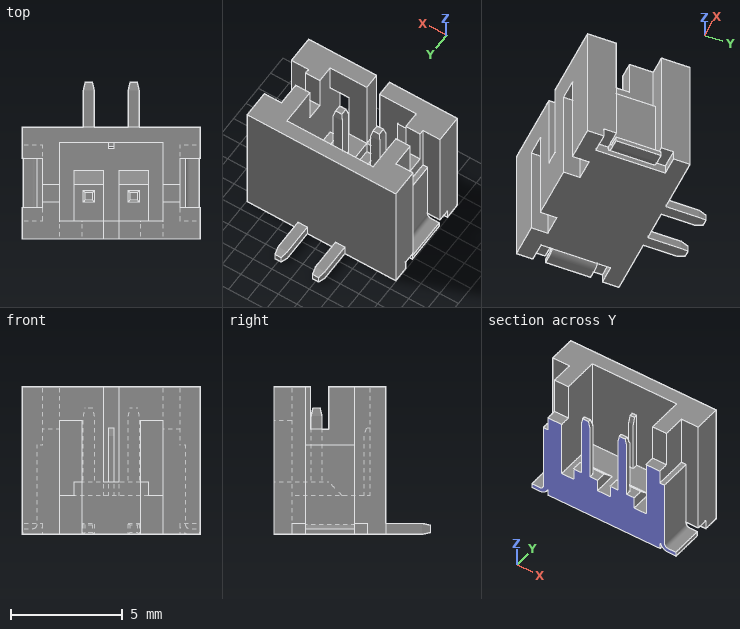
import cadquery as cq

BODY_WIDTH = 7.95
BODY_DEPTH = 5.0
BODY_HEIGHT = 6.6

CAVITY_WIDTH = 4.6
CAVITY_FRONT = 0.8
CAVITY_BACK = 4.3
CAVITY_FLOOR = 1.73
PIN_SEAT_TOP = 2.35

PIN_PITCH = 2.0
PIN_SIZE = 0.5
PIN_TIP_SIZE = 0.33
PIN_TIP_LENGTH = 0.37
PIN_Y = 1.91
PIN_TOP = 5.65
TAIL_LENGTH = 2.0
PIN_SEAT_WIDTH = 1.32
PIN_SEAT_FLAT_END = 2.44

KEY_SLOT_WIDTH = 0.68
WINDOW_WIDTH = 1.0
WINDOW_TOP = 5.09

SIDE_NOTCH_WIDTH = 0.8
SIDE_NOTCH_CENTER_Y = 2.04
SIDE_NOTCH_BOTTOM = 4.71

RIB_WIDTH = 0.25
RIB_DEPTH = 0.27
RIB_TOP = 4.755
RIB_CHAMFER_DEPTH = 0.1
RIB_CHAMFER_HEIGHT = 0.365

RECESS_DEPTH = 0.915
RECESS_FRONT = 1.41
RECESS_BACK = 3.6
RELIEF_FRONT = 0.8
RELIEF_BACK = 4.19
RELIEF_HEIGHT = 0.485

TAB_THICKNESS = 0.255
TAB_HEIGHT = 3.99
TAB_BEND_RADIUS = 0.2
TAB_EDGE_INSET = 0.04


def block(x_range, y_range, z_range):
    """Box between the given lower and upper limits on each axis."""
    (x0, x1), (y0, y1), (z0, z1) = x_range, y_range, z_range
    return cq.Workplane("XY").box(x1 - x0, y1 - y0, z1 - z0, centered=False).translate((x0, y0, z0))


def centered_range(center, size):
    return (center - size / 2, center + size / 2)


def both_sides(shape):
    """The shape together with its mirror image across the YZ plane."""
    return shape.union(shape.mirror("YZ"))


def housing():
    body = block(centered_range(0, BODY_WIDTH), (0, BODY_DEPTH), (0, BODY_HEIGHT))
    cavity = block(
        centered_range(0, CAVITY_WIDTH), (CAVITY_FRONT, CAVITY_BACK), (CAVITY_FLOOR, BODY_HEIGHT)
    )
    key_slot = block(
        centered_range(0, KEY_SLOT_WIDTH), (0, CAVITY_FRONT), (PIN_SEAT_TOP, BODY_HEIGHT)
    )
    window_left = -CAVITY_WIDTH / 2
    window = block((window_left, window_left + WINDOW_WIDTH), (0, CAVITY_FRONT), (0, WINDOW_TOP))
    side_notches = block(
        centered_range(0, BODY_WIDTH),
        centered_range(SIDE_NOTCH_CENTER_Y, SIDE_NOTCH_WIDTH),
        (SIDE_NOTCH_BOTTOM, BODY_HEIGHT),
    )
    recess_x = (-BODY_WIDTH / 2, -BODY_WIDTH / 2 + RECESS_DEPTH)
    recess = block(recess_x, (RECESS_FRONT, RECESS_BACK), (0, BODY_HEIGHT))
    relief = block(recess_x, (RELIEF_FRONT, RELIEF_BACK), (0, RELIEF_HEIGHT))
    return (
        body.cut(cavity)
        .cut(key_slot)
        .cut(side_notches)
        .cut(both_sides(window))
        .cut(both_sides(recess))
        .cut(both_sides(relief))
    )


def pin_seat(x):
    """Raised pad around a pin, with a 45 degree slope down to the cavity floor at the back."""
    rise = PIN_SEAT_TOP - CAVITY_FLOOR
    return (
        cq.Workplane("YZ")
        .moveTo(CAVITY_FRONT, CAVITY_FLOOR)
        .lineTo(CAVITY_FRONT, PIN_SEAT_TOP)
        .lineTo(PIN_SEAT_FLAT_END, PIN_SEAT_TOP)
        .lineTo(PIN_SEAT_FLAT_END + rise, CAVITY_FLOOR)
        .close()
        .extrude(PIN_SEAT_WIDTH / 2, both=True)
        .translate((x, 0, 0))
    )


def tapered_bar(length):
    """Square bar standing on the origin, with a tapered tip at its upper end."""
    shank_length = length - PIN_TIP_LENGTH
    shank = cq.Workplane("XY").rect(PIN_SIZE, PIN_SIZE).extrude(shank_length)
    tip = (
        cq.Workplane("XY")
        .workplane(offset=shank_length)
        .rect(PIN_SIZE, PIN_SIZE)
        .workplane(offset=PIN_TIP_LENGTH)
        .rect(PIN_TIP_SIZE, PIN_TIP_SIZE)
        .loft(ruled=True)
    )
    return shank.union(tip)


def pin(x):
    """L-shaped pin: an upright contact in the cavity and a tail leaving through the back."""
    contact = tapered_bar(PIN_TOP).translate((x, PIN_Y, 0))
    tail = (
        tapered_bar(BODY_DEPTH + TAIL_LENGTH - PIN_Y)
        .rotate((0, 0, 0), (1, 0, 0), -90)
        .translate((x, PIN_Y, PIN_SIZE / 2))
    )
    return contact.union(tail)


def cavity_rib():
    """Narrow upright rib on the back wall, chamfered at its top front edge."""
    rib_front = CAVITY_BACK - RIB_DEPTH
    return (
        cq.Workplane("YZ")
        .moveTo(CAVITY_BACK, CAVITY_FLOOR)
        .lineTo(CAVITY_BACK, RIB_TOP)
        .lineTo(rib_front + RIB_CHAMFER_DEPTH, RIB_TOP)
        .lineTo(rib_front, RIB_TOP - RIB_CHAMFER_HEIGHT)
        .lineTo(rib_front, CAVITY_FLOOR)
        .close()
        .extrude(RIB_WIDTH / 2, both=True)
    )


def solder_tab():
    """Left solder tab, bent outward at the bottom with concentric bend radii."""
    foot_end = -BODY_WIDTH / 2 + TAB_EDGE_INSET
    leg_inside = -BODY_WIDTH / 2 + RECESS_DEPTH
    leg_outside = leg_inside - TAB_THICKNESS
    outer_radius = TAB_BEND_RADIUS + TAB_THICKNESS
    bend_x = leg_outside - TAB_BEND_RADIUS
    return (
        cq.Workplane("XZ")
        .moveTo(foot_end, 0)
        .lineTo(bend_x, 0)
        .radiusArc((leg_inside, outer_radius), -outer_radius)
        .lineTo(leg_inside, TAB_HEIGHT)
        .lineTo(leg_outside, TAB_HEIGHT)
        .lineTo(leg_outside, outer_radius)
        .radiusArc((bend_x, TAB_THICKNESS), TAB_BEND_RADIUS)
        .lineTo(foot_end, TAB_THICKNESS)
        .close()
        .extrude(-(RECESS_BACK - RECESS_FRONT))
        .translate((0, RECESS_FRONT, 0))
    )


result = housing().union(cavity_rib()).union(both_sides(solder_tab()))
for pin_x in (-PIN_PITCH / 2, PIN_PITCH / 2):
    result = result.union(pin_seat(pin_x)).union(pin(pin_x))